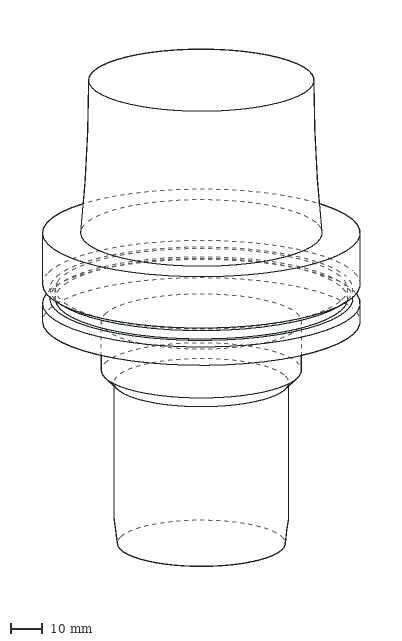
import cadquery as cq

total_length = 151.6
shank_length = 50.0
flange_thickness = 29.0
collar_diameter = 63.0
body_diameter = 55.0
collar_bottom_depth = 45.0
collar_step = (collar_diameter - body_diameter) / 2
body_top_depth = collar_bottom_depth + collar_step
tip_depth = total_length - shank_length
tip_length = 8.2
tip_diameter = 52.9

shank_top_diameter = 71.0
shank_base_diameter = 76.0
shank_flare_sag = 0.6

flange_diameter = 100.0
groove_floor_diameter = 92.0
groove_wall_foot_diameter = 95.4
groove_top_depth = 16.8
groove_mouth_width = 6.2
groove_wall_height = 1.5


def make_shank():
    """Round shank above the flange, with a shallow concave flank."""
    top_radius = shank_top_diameter / 2
    base_radius = shank_base_diameter / 2
    waist_radius = (top_radius + base_radius) / 2 - shank_flare_sag
    return (
        cq.Workplane("XZ")
        .moveTo(0, 0)
        .lineTo(base_radius, 0)
        .threePointArc((waist_radius, shank_length / 2), (top_radius, shank_length))
        .lineTo(0, shank_length)
        .close()
        .revolve()
    )


def make_flange():
    """Disc below the shank face, with the gripper groove around its rim."""
    disc = cq.Workplane("XY").circle(flange_diameter / 2).extrude(-flange_thickness)
    rim_radius = flange_diameter / 2
    foot_radius = groove_wall_foot_diameter / 2
    floor_radius = groove_floor_diameter / 2
    mouth_top = -groove_top_depth
    mouth_bottom = mouth_top - groove_mouth_width
    floor_top = mouth_top - groove_wall_height
    floor_bottom = mouth_bottom + groove_wall_height
    groove = (
        cq.Workplane("XZ")
        .moveTo(rim_radius, mouth_top)
        .lineTo(foot_radius, floor_top)
        .lineTo(floor_radius, floor_top)
        .lineTo(floor_radius, floor_bottom)
        .lineTo(foot_radius, floor_bottom)
        .lineTo(rim_radius, mouth_bottom)
        .close()
        .revolve()
    )
    return disc.cut(groove)


def make_lower_body():
    """Collar, conical step, straight body and tapered tip below the flange."""
    collar_radius = collar_diameter / 2
    body_radius = body_diameter / 2
    tip_radius = tip_diameter / 2
    return (
        cq.Workplane("XZ")
        .moveTo(0, -flange_thickness)
        .lineTo(collar_radius, -flange_thickness)
        .lineTo(collar_radius, -collar_bottom_depth)
        .lineTo(body_radius, -body_top_depth)
        .lineTo(body_radius, -(tip_depth - tip_length))
        .lineTo(tip_radius, -tip_depth)
        .lineTo(0, -tip_depth)
        .close()
        .revolve()
    )


result = make_shank().union(make_flange()).union(make_lower_body())